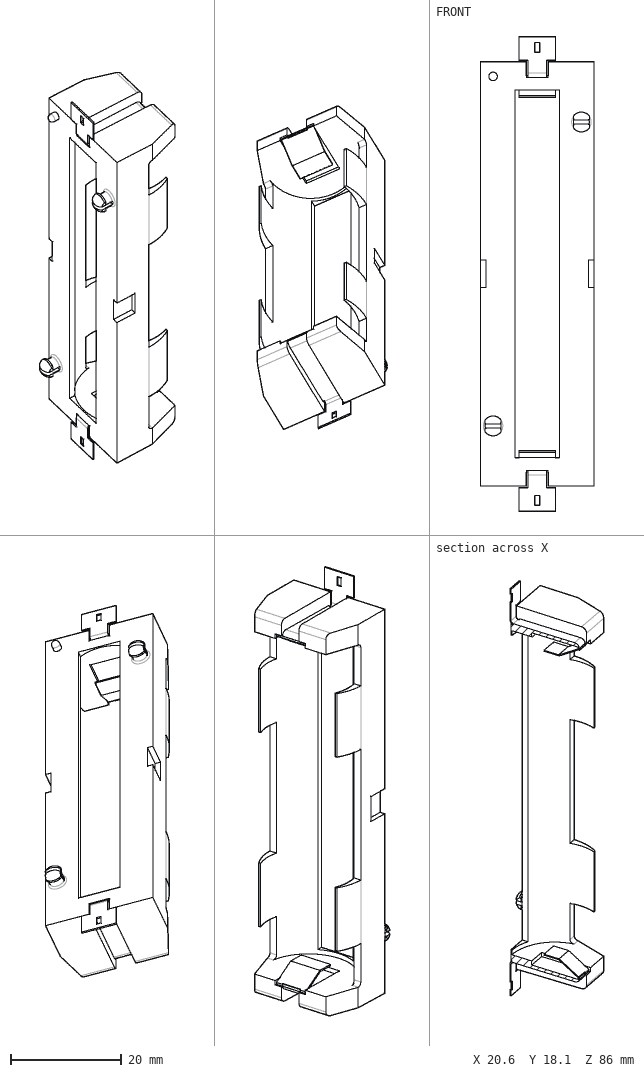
import cadquery as cq
import math

body_width = 20.6
body_half_length = 38.4
rail_depth = 7.2
tower_depth = 14.8
tower_inner_z = 34.2
tower_draft = 0.2
tower_back_half_width = 8.1
shoulder_y = 8.0
tower_edge_radius = 1.0
tower_root_radius = shoulder_y - rail_depth

battery_axis_y = 9.3
cradle_radius = 9.0
clip_tip_y = 12.5
clip_start_z = 13.1
clip_length = 12.7
window_width = 8.0
window_length = 66.6

edge_notch_x = 1.0
edge_notch_y = 4.1
edge_notch_z = 5.0

sheet = 0.3
overall_length = 86.0
lug_width = 6.6
lug_start_z = body_half_length + 0.3
lug_front_y = -0.215
lug_hole_width = 0.9
lug_hole_length = 1.7
lug_hole_z = 41.0
neck_width = 3.4
neck_end_y = 0.7
front_bend_radius = 0.8
channel_width = 3.95
channel_floor_z = 35.6
contact_back_y = tower_depth - 0.3
strip_end_z = 34.6
plate_start_y = 7.05
plate_bend_y = 10.2
plate_z = 32.0
spring_angle = 32.0
pocket_width = lug_width + 0.2
pocket_start_y = 4.5
pocket_depth = 0.9

pin_x = 8.0
pin_z = 27.5
shank_diameter = 2.8
shank_radius = shank_diameter / 2
pin_root_radius = 0.35
pin_head_radius = 1.8
pin_head_start = 1.8
pin_dome_start = 2.15
pin_dome_mid = (1.3, 2.9)
pin_length = 3.35
pin_slot_width = 0.8
pin_slot_floor = 0.3
pip_radius = 0.8
pip_shank = 0.95
pip_z = 35.8

half_width = body_width / 2
overlap = 0.4
clearance = 0.9


def box(x_range, y_range, z_range):
    """Axis-aligned box between the given limits."""
    sizes = [high - low for low, high in (x_range, y_range, z_range)]
    return cq.Workplane("XY").box(*sizes, centered=False).translate((x_range[0], y_range[0], z_range[0]))


def side_profile(points, width):
    """Extrude a YZ outline symmetrically about X = 0."""
    return cq.Workplane("YZ").polyline(points).close().extrude(width / 2, both=True)


def fillet_x_edge(solid, y, z, radius):
    """Round the edge parallel to X that passes nearest to (0, y, z)."""
    return solid.edges(cq.selectors.NearestToPointSelector((0, y, z))).fillet(radius)


def both_ends(solid):
    """The solid together with its mirror image at the other end of the body."""
    return solid.union(solid.mirror("XY"))


def moulded_half():
    """Upper half of the rails with its end tower."""
    tower_top_z = body_half_length - tower_draft
    half = side_profile(
        [
            (0, 0),
            (0, body_half_length),
            (tower_depth, tower_top_z),
            (tower_depth, tower_inner_z),
            (rail_depth, tower_inner_z),
            (rail_depth, 0),
        ],
        body_width,
    )
    half = fillet_x_edge(half, tower_depth, tower_top_z, tower_edge_radius)
    half = fillet_x_edge(half, rail_depth, tower_inner_z, tower_root_radius)
    plan = (
        cq.Workplane("XY")
        .polyline(
            [
                (-half_width, 0),
                (half_width, 0),
                (half_width, shoulder_y),
                (tower_back_half_width, tower_depth),
                (-tower_back_half_width, tower_depth),
                (-half_width, shoulder_y),
            ]
        )
        .close()
        .extrude(body_half_length)
    )
    return half.intersect(plan)


def contact_channel():
    """Groove over the end face and down the back of a tower."""
    web_back_y = contact_back_y - sheet
    front_y = -clearance
    back_y = tower_depth + clearance
    top_z = body_half_length + clearance
    bottom_z = tower_inner_z - clearance
    channel = side_profile(
        [
            (front_y, top_z),
            (front_y, channel_floor_z),
            (web_back_y, channel_floor_z),
            (web_back_y, bottom_z),
            (back_y, bottom_z),
            (back_y, top_z),
        ],
        channel_width,
    )
    return fillet_x_edge(channel, web_back_y, channel_floor_z, tower_edge_radius - sheet)


def spring_pocket():
    """Recess in the inner face of a tower that takes the root of the spring."""
    return box(
        (-pocket_width / 2, pocket_width / 2),
        (pocket_start_y, tower_depth + clearance),
        (tower_inner_z - clearance, tower_inner_z + pocket_depth),
    )


def body():
    """Moulded holder with its cradle, window, contact seats and edge notches."""
    solid = both_ends(moulded_half())
    cradle = (
        cq.Workplane("XY")
        .center(0, battery_axis_y)
        .circle(cradle_radius)
        .extrude(tower_inner_z, both=True)
    )
    window = cq.Workplane("XY").box(window_width, tower_depth, window_length)
    solid = solid.cut(cradle).cut(window)
    solid = solid.cut(both_ends(contact_channel())).cut(both_ends(spring_pocket()))
    notch = cq.Workplane("XY").box(2 * edge_notch_x, 2 * edge_notch_y, edge_notch_z)
    for side in (-1, 1):
        solid = solid.cut(notch.translate((side * half_width, 0, 0)))
    return solid


def clips():
    """Curved fingers: inside they continue the cradle, outside they leave the rail sides tangentially."""
    outside = cq.Workplane("XY").center(0, rail_depth).circle(half_width).extrude(clip_length)
    inside = cq.Workplane("XY").center(0, battery_axis_y).circle(cradle_radius).extrude(clip_length)
    shell = outside.cut(inside).translate((0, 0, clip_start_z))
    band = box((-half_width, half_width), (rail_depth - overlap, clip_tip_y), (0, body_half_length))
    return both_ends(shell.intersect(band))


def contact():
    """One bent contact: solder lug, strip along the channel, and sloped spring plate."""
    lug_end_z = overall_length / 2
    strip_top_z = channel_floor_z + sheet
    lug_back_y = lug_front_y + sheet
    strip_inner_y = contact_back_y - sheet
    strip = side_profile(
        [
            (lug_front_y, lug_end_z),
            (lug_front_y, channel_floor_z),
            (strip_inner_y, channel_floor_z),
            (strip_inner_y, strip_end_z),
            (contact_back_y, strip_end_z),
            (contact_back_y, strip_top_z),
            (lug_back_y, strip_top_z),
            (lug_back_y, lug_end_z),
        ],
        channel_width,
    )
    strip = fillet_x_edge(strip, lug_front_y, channel_floor_z, front_bend_radius)
    strip = fillet_x_edge(strip, lug_back_y, strip_top_z, front_bend_radius - sheet)
    strip = fillet_x_edge(strip, contact_back_y, strip_top_z, tower_edge_radius)
    strip = fillet_x_edge(strip, strip_inner_y, channel_floor_z, tower_edge_radius - sheet)
    side_trim = box(
        (neck_width / 2, channel_width),
        (lug_front_y - clearance, neck_end_y),
        (0, lug_end_z + clearance),
    )
    strip = strip.cut(side_trim).cut(side_trim.mirror("YZ"))

    lug = box(
        (-lug_width / 2, lug_width / 2),
        (lug_front_y, lug_back_y),
        (lug_start_z, lug_end_z),
    )
    hole = cq.Workplane("XY").box(lug_hole_width, 2 * clearance, lug_hole_length).translate((0, 0, lug_hole_z))

    slope = math.radians(spring_angle)
    rise = (contact_back_y - plate_bend_y) * math.tan(slope)
    slope_height = sheet / math.cos(slope)
    inner_bend_y = plate_bend_y - sheet * math.tan(slope / 2)
    spring = side_profile(
        [
            (plate_start_y, plate_z),
            (plate_bend_y, plate_z),
            (contact_back_y, plate_z + rise),
            (contact_back_y, plate_z + rise + slope_height),
            (inner_bend_y, plate_z + sheet),
            (plate_start_y, plate_z + sheet),
        ],
        lug_width,
    )
    return strip.union(lug).cut(hole).union(spring)


def snap_pin():
    """Slotted pin with a domed head, pointing to -Y from the origin."""
    root_edge = shank_radius + pin_root_radius
    root_mid = root_edge - pin_root_radius * math.sqrt(0.5)
    root_mid_height = pin_root_radius * (1 - math.sqrt(0.5))
    pin = (
        cq.Workplane("XY")
        .moveTo(0, overlap)
        .lineTo(root_edge, overlap)
        .lineTo(root_edge, 0)
        .threePointArc((root_mid, -root_mid_height), (shank_radius, -pin_root_radius))
        .lineTo(shank_radius, -pin_head_start)
        .lineTo(pin_head_radius, -pin_head_start)
        .lineTo(pin_head_radius, -pin_dome_start)
        .threePointArc((pin_dome_mid[0], -pin_dome_mid[1]), (pin_slot_width / 2, -pin_length))
        .lineTo(0, -pin_length)
        .close()
        .revolve(360, (0, 0, 0), (0, 1, 0))
    )
    slot = box(
        (-half_width, half_width),
        (-pin_length - clearance, -pin_slot_floor),
        (-pin_slot_width / 2, pin_slot_width / 2),
    )
    trim_y = (-pin_length - clearance, -pin_head_start)
    trim_z = (-half_width, half_width)
    right_trim = box((shank_radius, half_width), trim_y, trim_z)
    return pin.cut(slot).cut(right_trim).cut(right_trim.mirror("YZ"))


def locating_pip():
    """Round-ended peg pointing to -Y from the origin."""
    shank = cq.Workplane("XZ").circle(pip_radius).extrude(pip_shank + overlap).translate((0, overlap, 0))
    return shank.union(cq.Workplane("XY").sphere(pip_radius).translate((0, -pip_shank, 0)))


result = body().union(clips()).union(both_ends(contact()))
for side in (-1, 1):
    result = result.union(snap_pin().translate((side * pin_x, 0, side * pin_z)))
result = result.union(locating_pip().translate((-pin_x, 0, pip_z)))